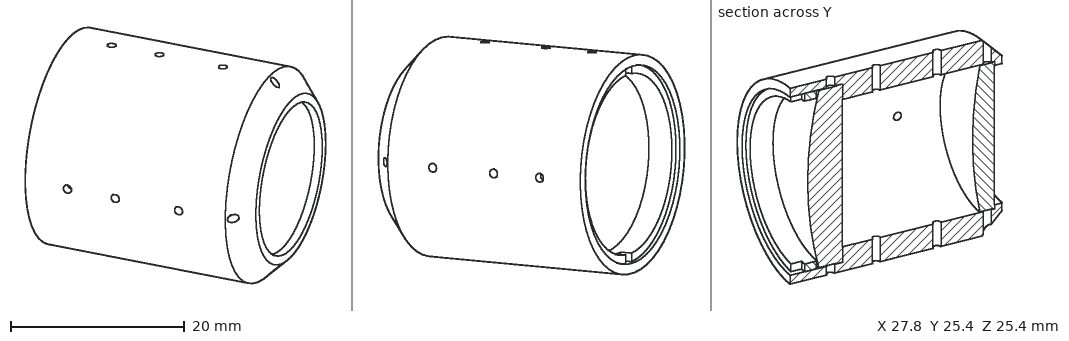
import cadquery as cq
import math


barrel_length = 27.8
barrel_radius = 12.7
nose_chamfer = 2.67
front_bore_radius = 11.5
rear_bore_radius = 9.5
nose_lip_thickness = 1.0
nose_aperture_radius = 9.0

front_glue_hole_x = 5.3
front_vent_hole_x = 11.31
rear_vent_hole_x = 19.27
rear_glue_hole_x = 25.83
radial_hole_diameter = 1.0

ring_recess = 0.5
ring_length = 3.0
ring_inner_radius = 10.5
spanner_slot_width = 1.4
spanner_slot_depth = 1.4

front_dome_height = 1.22
rear_dome_height = 0.97

ring_back_x = ring_recess + ring_length
front_apex_x = ring_back_x - front_dome_height
front_sphere_radius = (ring_inner_radius**2 + front_dome_height**2) / (2 * front_dome_height)
front_full_rise = front_sphere_radius - math.sqrt(front_sphere_radius**2 - front_bore_radius**2)
front_edge_x = front_apex_x + front_full_rise
front_seat_x = 2 * front_glue_hole_x - front_edge_x

rear_seat_x = barrel_length - nose_lip_thickness
rear_edge_x = 2 * rear_glue_hole_x - rear_seat_x
rear_apex_x = rear_edge_x - rear_dome_height
rear_sphere_radius = (rear_bore_radius**2 + rear_dome_height**2) / (2 * rear_dome_height)


def cylinder_along_x(start_x, end_x, radius):
    return cq.Workplane("YZ", origin=(start_x, 0, 0)).circle(radius).extrude(end_x - start_x)


def radial_holes(x):
    """Two crossing drillings that pierce the barrel wall on all four sides."""
    hole_radius = radial_hole_diameter / 2
    along_y = cq.Workplane("XZ").center(x, 0).circle(hole_radius).extrude(barrel_radius, both=True)
    along_z = cq.Workplane("XY").center(x, 0).circle(hole_radius).extrude(barrel_radius, both=True)
    return along_y.union(along_z)


def make_barrel():
    barrel = cylinder_along_x(0, barrel_length, barrel_radius).faces(">X").chamfer(nose_chamfer)
    barrel = barrel.cut(cylinder_along_x(0, front_seat_x, front_bore_radius))
    barrel = barrel.cut(cylinder_along_x(front_seat_x, rear_seat_x, rear_bore_radius))
    barrel = barrel.cut(cylinder_along_x(rear_seat_x, barrel_length, nose_aperture_radius))
    for x in (front_glue_hole_x, front_vent_hole_x, rear_vent_hole_x, rear_glue_hole_x):
        barrel = barrel.cut(radial_holes(x))
    return barrel


def make_retaining_ring():
    ring = cylinder_along_x(ring_recess, ring_back_x, front_bore_radius)
    ring = ring.cut(cylinder_along_x(ring_recess, ring_back_x, ring_inner_radius))
    spanner_slots = cq.Workplane("XY").box(
        spanner_slot_depth, spanner_slot_width, 2 * barrel_radius, centered=(False, True, True)
    )
    return ring.cut(spanner_slots.translate((ring_recess, 0, 0)))


def make_lens(apex_x, edge_x, seat_x, lens_radius, sphere_radius):
    """Plano-convex lens: a half section turned about X, with its dome at the -X end."""
    mid_radius = lens_radius / 2
    mid_x = apex_x + sphere_radius - math.sqrt(sphere_radius**2 - mid_radius**2)
    half_section = (
        cq.Workplane("XY")
        .moveTo(apex_x, 0)
        .threePointArc((mid_x, mid_radius), (edge_x, lens_radius))
        .lineTo(seat_x, lens_radius)
        .lineTo(seat_x, 0)
        .close()
    )
    return half_section.revolve(360, (0, 0, 0), (1, 0, 0))


barrel = make_barrel()
retaining_ring = make_retaining_ring()
front_lens = make_lens(front_apex_x, front_edge_x, front_seat_x, front_bore_radius, front_sphere_radius)
rear_lens = make_lens(rear_apex_x, rear_edge_x, rear_seat_x, rear_bore_radius, rear_sphere_radius)

result = cq.Compound.makeCompound(
    [barrel.val(), retaining_ring.val(), front_lens.val(), rear_lens.val()]
)